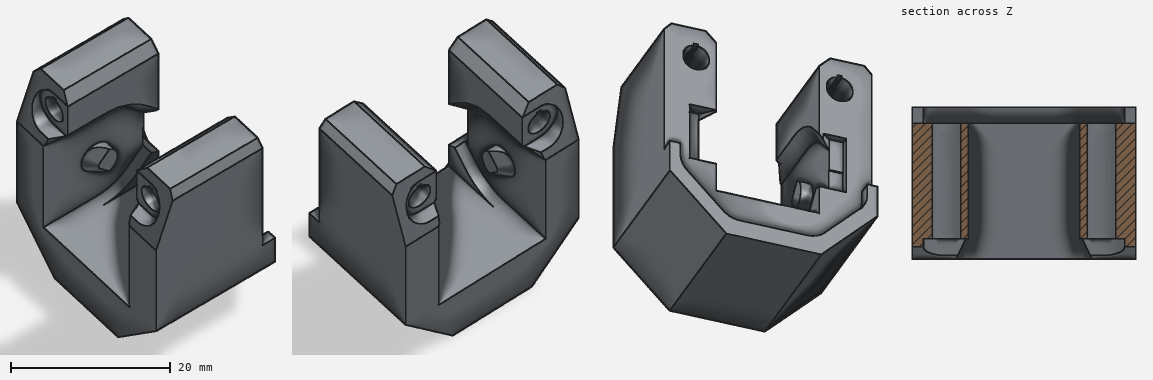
import cadquery as cq
import math

width = 28.0
height = 31
depth = 19.0
body_depth = 17.02
ledge_top = 12.0

bottom_chamfer = 7.6
outer_chamfer_width = 1.0
outer_chamfer_height = 1.1
inner_chamfer = 1.45
front_slope_start = 22.5
front_slope_setback = 3.05

floor_height = 7.5
jaw_half_gap = 6.95
recess_half_gap = 8.65
pivot_y = 8.28
recess_radius = 7.5
pivot_z = floor_height + recess_radius

pin_radius = 2.25
pin_tip_radius = 0.75
pin_length = 1.6

hole_x = 9.67
hole_z = 26.7
hole_radius = 1.77
notch_width = 0.6
notch_reach = 2.05
pocket_radius = 2.88
pocket_floor_y = 2.55

trough_half_width = 12.62
trough_floor_half_width = 4.53
trough_radius = 3.25

lip_relief_front_x = 8.5
lip_relief_back_x = 7.3

relief_sill_y = 15.8
relief_sill_drop = 0.5
right_relief_y = 15.3
left_relief_x = 7.47
left_relief_y = 16.03
relief_outer_x = 10.55
relief_top = 19.53

half_width = width / 2
diagonal = math.sqrt(0.5)
eighth_turn = math.pi / 4


def mirrored_pair(shape):
    """The shape together with its mirror image across the YZ plane."""
    return shape.union(shape.mirror("YZ"))


def box(x0, x1, y0, y1, z0, z1):
    """A box given by its limits along each axis."""
    return cq.Workplane("XY").box(x1 - x0, y1 - y0, z1 - z0, centered=False).translate((x0, y0, z0))


def outer_block():
    """Block with chamfered long edges, a low rear ledge and sloped arm fronts."""
    outline = [
        (half_width - bottom_chamfer, 0),
        (half_width, bottom_chamfer),
        (half_width, height - outer_chamfer_height),
        (half_width - outer_chamfer_width, height),
    ]
    outline += [(-x, z) for x, z in reversed(outline)]
    block = cq.Workplane("XZ").polyline(outline).close().extrude(-depth)
    side = [
        (0, 0),
        (depth, 0),
        (depth, ledge_top),
        (body_depth, ledge_top),
        (body_depth, height),
        (front_slope_setback, height),
        (0, front_slope_start),
    ]
    profile = cq.Workplane("YZ").polyline(side).close().extrude(half_width, both=True)
    return block.intersect(profile)


def jaw_opening():
    """Straight gap between the arms with its two top edges chamfered."""
    right_edge = [
        (jaw_half_gap, floor_height),
        (jaw_half_gap, height - inner_chamfer),
        (jaw_half_gap + inner_chamfer, height),
    ]
    outline = right_edge + [(-x, z) for x, z in reversed(right_edge)]
    return cq.Workplane("XZ").polyline(outline).close().extrude(-depth)


def ruled_solid(first, second):
    """Solid with straight sides between two outlines."""
    return cq.Workplane(cq.Solid.makeLoft([first.val(), second.val()], True))


def side_plane(x):
    """Workplane at x whose local axes are Y and Z, centred on the pivot."""
    return cq.Workplane("YZ", origin=(x, pivot_y, pivot_z))


def teardrop(plane, radius):
    """Circle with 45 degree tangents meeting in a point on the +Y side."""
    tangent = radius * diagonal
    return (
        plane.moveTo(tangent, tangent)
        .threePointArc((-radius, 0), (tangent, -tangent))
        .lineTo(radius / diagonal, 0)
        .close()
    )


def overhang_outline(plane, radius):
    """Upper half of the recess: level at the front, rounded, then falling at 45 degrees."""
    tangent = radius * diagonal
    front = -pivot_y
    arc_middle = (radius * math.sin(eighth_turn / 2), radius * math.cos(eighth_turn / 2))
    return (
        plane.moveTo(front, 0)
        .lineTo(front, radius)
        .lineTo(0, radius)
        .threePointArc(arc_middle, (tangent, tangent))
        .lineTo(radius / diagonal, 0)
        .close()
    )


def recess():
    """Pocket in the inner faces of both arms, with a 45 degree flared upper edge."""
    round_part = teardrop(side_plane(0), recess_radius).extrude(recess_half_gap, both=True)
    front_part = box(
        -recess_half_gap, recess_half_gap, 0, pivot_y, floor_height, pivot_z + recess_radius
    )
    wall_outline = overhang_outline(side_plane(recess_half_gap), recess_radius)
    jaw_radius = recess_radius + recess_half_gap - jaw_half_gap
    jaw_outline = overhang_outline(side_plane(jaw_half_gap), jaw_radius)
    flare = ruled_solid(wall_outline, jaw_outline)
    return round_part.union(front_part).union(mirrored_pair(flare))


def wedge_outline(plane, radius):
    """Rounded nose towards -Y with sides opening at 45 degrees."""
    tangent = radius * diagonal
    rise = 2 * pin_radius
    return (
        plane.moveTo(-tangent, tangent)
        .threePointArc((-radius, 0), (-tangent, -tangent))
        .lineTo(rise - tangent, -tangent - rise)
        .lineTo(rise - tangent, tangent + rise)
        .close()
    )


def pin():
    """Right pivot pin: a short cylinder with a tapered wedge-shaped lead-in."""
    tip_x = recess_half_gap - pin_length
    cylinder = side_plane(tip_x).circle(pin_radius).extrude(pin_length)
    base = wedge_outline(side_plane(recess_half_gap), pin_radius)
    tip = wedge_outline(side_plane(tip_x), pin_tip_radius)
    return cylinder.intersect(ruled_solid(base, tip))


def screw_hole():
    """Notched hole along the right arm with a pocket open to the jaw side."""
    front = cq.Workplane("XZ", origin=(hole_x, 0, hole_z))
    bore = front.circle(hole_radius).extrude(-depth)
    notch = front.rect(notch_width, 2 * notch_reach).extrude(-depth)
    notch = notch.intersect(box(0, half_width, 0, depth, hole_z, height))
    pocket = front.circle(pocket_radius).extrude(-pocket_floor_y)
    open_side = box(
        0, hole_x, 0, pocket_floor_y, hole_z - pocket_radius, hole_z + pocket_radius
    )
    return bore.union(notch).union(pocket).union(open_side)


def lip_relief():
    """Slanted clearance at the front of the right recess, below the screw pocket."""
    return (
        cq.Workplane("XY", origin=(0, 0, floor_height))
        .polyline([
            (0, 0),
            (lip_relief_front_x, 0),
            (lip_relief_back_x, pocket_floor_y),
            (0, pocket_floor_y),
        ])
        .close()
        .extrude(hole_z - floor_height)
    )


def trough():
    """Trough across the rear ledge: upright walls, 45 degree flanks and a flat floor, blended by arcs."""
    inset = trough_radius * (1 - diagonal)
    reach = trough_radius * diagonal
    bend = trough_radius * math.sin(eighth_turn / 2)
    edge = trough_radius * (1 - math.cos(eighth_turn / 2))
    floor_z = pivot_z - trough_half_width

    flank_low_x = trough_floor_half_width + reach
    flank_high_x = trough_half_width - inset
    flank_low_z = floor_z + inset
    flank_high_z = flank_low_z + flank_high_x - flank_low_x
    wall_z = flank_high_z + reach

    upper_arc_middle = (trough_half_width - edge, wall_z - bend)
    lower_arc_middle = (trough_floor_half_width + bend, floor_z + edge)
    half = (
        cq.Workplane("XZ", origin=(0, body_depth, 0))
        .moveTo(0, ledge_top)
        .lineTo(trough_half_width, ledge_top)
        .lineTo(trough_half_width, wall_z)
        .threePointArc(upper_arc_middle, (flank_high_x, flank_high_z))
        .lineTo(flank_low_x, flank_low_z)
        .threePointArc(lower_arc_middle, (trough_floor_half_width, floor_z))
        .lineTo(0, floor_z)
        .close()
        .extrude(body_depth - depth)
    )
    return mirrored_pair(half)


def rear_relief(corner_x, wall_y):
    """Relief behind the right recess: a sloped sill and a slanted end of the recess wall.

    The slant runs from corner_x on the rear face to wall_y on the recess wall.
    """
    sill_outline = [
        (relief_sill_y, ledge_top),
        (body_depth, ledge_top - relief_sill_drop),
        (body_depth, pivot_z),
        (relief_sill_y, pivot_z),
    ]
    sill = cq.Workplane("YZ", origin=(jaw_half_gap, 0, 0)).polyline(sill_outline).close()
    sill = sill.extrude(relief_outer_x - jaw_half_gap)
    side_outline = [
        (corner_x, body_depth),
        (recess_half_gap, wall_y),
        (relief_outer_x, wall_y),
        (relief_outer_x, body_depth),
    ]
    side = cq.Workplane("XY", origin=(0, 0, ledge_top)).polyline(side_outline).close()
    side = side.extrude(relief_top - ledge_top)
    return sill.union(side)


right_relief = rear_relief(jaw_half_gap, right_relief_y)
left_relief = rear_relief(left_relief_x, left_relief_y).mirror("YZ")

result = (
    outer_block()
    .cut(jaw_opening())
    .cut(recess())
    .cut(mirrored_pair(screw_hole()))
    .cut(mirrored_pair(lip_relief()))
    .cut(trough())
    .cut(right_relief)
    .cut(left_relief)
    .union(mirrored_pair(pin()))
)